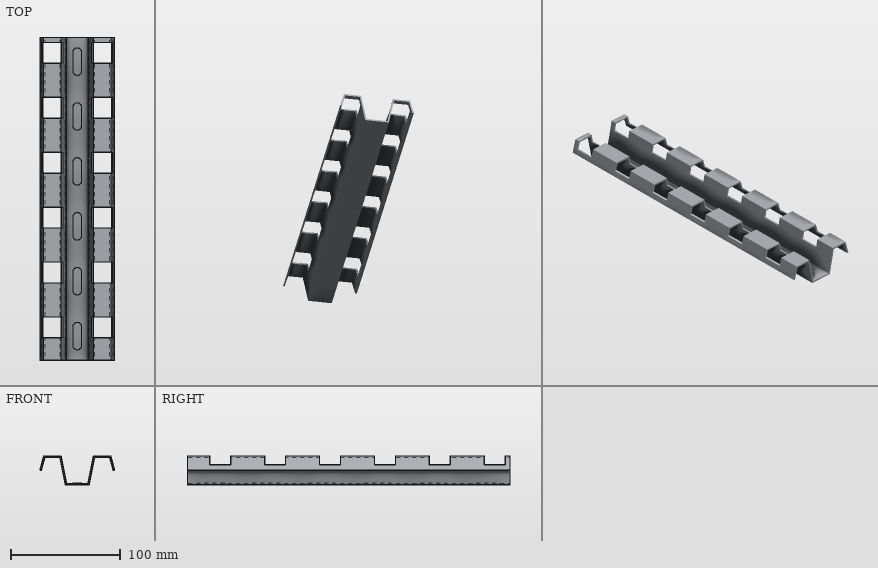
import cadquery as cq
import math

LENGTH = 294.0
WIDTH = 68.2
HEIGHT = 26.5
SHEET = 1.5

FLOOR_HALF_WIDTH = 9.7
CREST_INNER_X = 14.7
CREST_OUTER_X = 30.5
LIP_EDGE_Z = 13.5

PITCH = 50.0
REPEATS = 6
WINDOW_LENGTH = 18.8
WINDOW_SILL_Z = 18.5
END_STRIP = 4.7

PAD_LENGTH = 25.0
PAD_WIDTH = 8.0
PAD_RISE = 0.3


def folded_sheet():
    """Hat-shaped strip of constant thickness, with a sloping lip hanging from each crest."""
    half_width = WIDTH / 2
    web_angle = math.atan2(HEIGHT - SHEET, CREST_INNER_X - FLOOR_HALF_WIDTH)
    lip_angle = math.atan2(HEIGHT - LIP_EDGE_Z, half_width - CREST_OUTER_X)

    web_mitre = SHEET * math.tan(web_angle / 2)
    lip_mitre = SHEET * math.tan(lip_angle / 2)
    underside_z = HEIGHT - SHEET

    upper = [
        (FLOOR_HALF_WIDTH, SHEET),
        (CREST_INNER_X, HEIGHT),
        (CREST_OUTER_X, HEIGHT),
        (half_width, LIP_EDGE_Z),
    ]
    lower = [
        (half_width - SHEET * math.sin(lip_angle), LIP_EDGE_Z - SHEET * math.cos(lip_angle)),
        (CREST_OUTER_X - lip_mitre, underside_z),
        (CREST_INNER_X + web_mitre, underside_z),
        (FLOOR_HALF_WIDTH + web_mitre, 0),
    ]
    right_side = upper + lower
    left_side = [(-x, z) for x, z in reversed(right_side)]
    section = cq.Workplane("XZ").polyline(right_side + left_side).close()
    return section.extrude(LENGTH / 2, both=True)


def crest_windows():
    """Full-width blocks that open both crests down to the window sill."""
    first_y = LENGTH / 2 - END_STRIP - WINDOW_LENGTH / 2
    centres = [(0, first_y - i * PITCH) for i in range(REPEATS)]
    return (
        cq.Workplane("XY", origin=(0, 0, WINDOW_SILL_Z))
        .pushPoints(centres)
        .rect(WIDTH, WINDOW_LENGTH)
        .extrude(HEIGHT - WINDOW_SILL_Z)
    )


def floor_pads():
    """Row of round-ended pads, centred along the rail and rooted in the floor."""
    return (
        cq.Workplane("XY")
        .rarray(3, PITCH, 1, REPEATS)
        .slot2D(PAD_LENGTH, PAD_WIDTH, 90)
        .extrude(SHEET + PAD_RISE)
    )


result = folded_sheet().cut(crest_windows()).union(floor_pads())